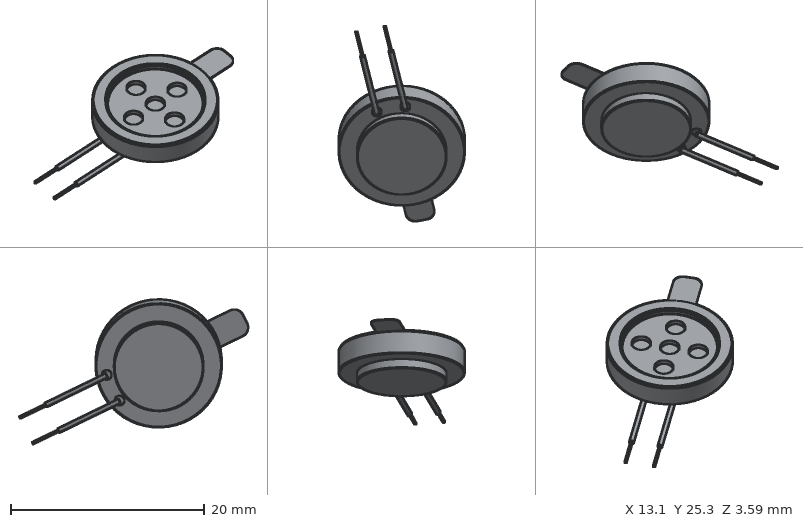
import cadquery as cq

housing_diameter = 13.1
housing_height = 2.5
housing_top_chamfer = 0.13
housing_bottom_chamfer = 0.1

magnet_diameter = 9.3
magnet_height = 0.99
magnet_chamfer = 0.1

recess_diameter = 10.0
recess_depth = 0.5
recess_mouth_chamfer = 0.1
plate_diameter = 9.8
plate_thickness = 0.5
sound_hole_diameter = 2.0
sound_hole_spacing = 3.0

ring_outer_diameter = 12.8
ring_inner_diameter = 10.4
ring_thickness = 0.1
tab_width = 3.0
tab_corner_radius = 1.0
tab_end_y = 10.0

wire_spacing = 3.0
pad_diameter = 1.0
pad_thickness = 0.08
pad_center_y = -5.25
sleeve_diameter = 0.5
sleeve_start_y = -5.25
sleeve_length = 7.03
core_diameter = 0.25
wire_end_y = tab_end_y - 25.3

housing_bottom_z = magnet_height
housing_top_z = housing_bottom_z + housing_height
recess_floor_z = housing_top_z - recess_depth
plate_bottom_z = recess_floor_z - plate_thickness
pad_bottom_z = housing_bottom_z - pad_thickness
wire_z = pad_bottom_z - sleeve_diameter / 2
wire_xs = [-wire_spacing / 2, wire_spacing / 2]


def disc(diameter, bottom_z, height):
    return cq.Workplane("XY").workplane(offset=bottom_z).circle(diameter / 2).extrude(height)


def make_housing():
    """Round can with its magnet boss, an open recess and a seat for the sound plate."""
    can = disc(housing_diameter, housing_bottom_z, housing_height)
    can = can.faces(">Z").chamfer(housing_top_chamfer)
    can = can.faces("<Z").chamfer(housing_bottom_chamfer)
    magnet = disc(magnet_diameter, 0, magnet_height).faces("<Z").chamfer(magnet_chamfer)
    recess = disc(recess_diameter, recess_floor_z, recess_depth)
    plate_seat = disc(plate_diameter, plate_bottom_z, plate_thickness)
    body = can.union(magnet).cut(recess).cut(plate_seat)
    mouth = body.faces(">Z").edges(cq.selectors.RadiusNthSelector(0))
    return mouth.chamfer(recess_mouth_chamfer)


def make_sound_plate():
    """Disc pierced by a central hole and four holes around it."""
    hole_centers = [
        (0, 0),
        (sound_hole_spacing, 0),
        (-sound_hole_spacing, 0),
        (0, sound_hole_spacing),
        (0, -sound_hole_spacing),
    ]
    plate = disc(plate_diameter, plate_bottom_z, plate_thickness)
    return plate.faces(">Z").workplane().pushPoints(hole_centers).hole(sound_hole_diameter)


def make_adhesive_ring():
    """Thin flat ring with a round-cornered pull tab towards +Y."""
    ring = disc(ring_outer_diameter, housing_top_z, ring_thickness)
    tab = (
        cq.Workplane("XY")
        .workplane(offset=housing_top_z)
        .center(0, tab_end_y / 2)
        .rect(tab_width, tab_end_y)
        .extrude(ring_thickness)
        .edges("|Z and >Y")
        .fillet(tab_corner_radius)
    )
    opening = disc(ring_inner_diameter, housing_top_z, ring_thickness)
    return ring.union(tab).cut(opening)


def make_solder_pad(x):
    return disc(pad_diameter, pad_bottom_z, pad_thickness).translate((x, pad_center_y, 0))


def make_wire(x):
    """Insulated lead towards -Y with a thinner bare end."""
    wire_length = sleeve_start_y - wire_end_y
    start = cq.Workplane("XZ", origin=(x, sleeve_start_y, wire_z))
    core = start.circle(core_diameter / 2).extrude(wire_length)
    return start.circle(sleeve_diameter / 2).extrude(sleeve_length).union(core)


housing = make_housing()
sound_plate = make_sound_plate()
adhesive_ring = make_adhesive_ring()
solder_pads = [make_solder_pad(x) for x in wire_xs]
wires = [make_wire(x) for x in wire_xs]

result = cq.Compound.makeCompound(
    [
        housing.val(),
        sound_plate.val(),
        adhesive_ring.val(),
        *[pad.val() for pad in solder_pads],
        *[wire.val() for wire in wires],
    ]
)